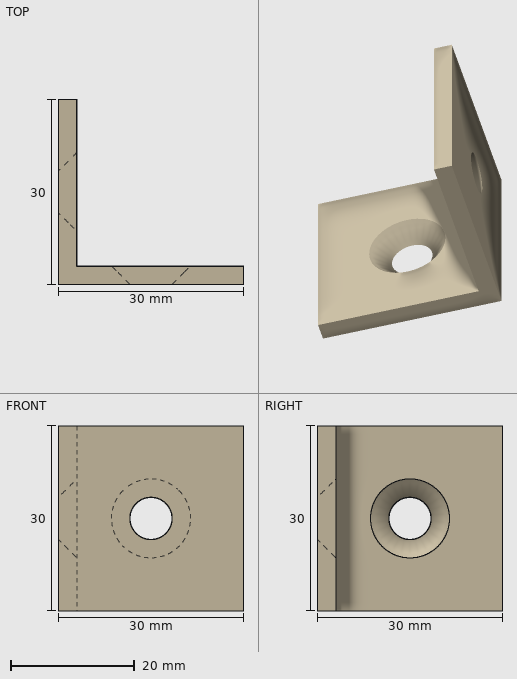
import cadquery as cq

leg_length = 30.0
height = 30.0
thickness = 3.0
outer_hole_diameter = 6.8
inner_hole_diameter = outer_hole_diameter + 2 * thickness


def angle_body():
    """L-shaped section extruded upward, outer corner at the origin."""
    return (
        cq.Workplane("XY")
        .moveTo(0, 0)
        .lineTo(leg_length, 0)
        .lineTo(leg_length, thickness)
        .lineTo(thickness, thickness)
        .lineTo(thickness, leg_length)
        .lineTo(0, leg_length)
        .close()
        .extrude(height)
    )


def leg_hole(outer_centre, inward):
    """Cone that pierces one leg, widening from its outer face to its inner face."""
    cone = cq.Solid.makeCone(
        outer_hole_diameter / 2,
        inner_hole_diameter / 2,
        thickness,
        cq.Vector(*outer_centre),
        cq.Vector(*inward),
    )
    return cq.Workplane(cone)


front_leg_hole = leg_hole((leg_length / 2, 0, height / 2), (0, 1, 0))
side_leg_hole = leg_hole((0, leg_length / 2, height / 2), (1, 0, 0))

result = angle_body().cut(front_leg_hole).cut(side_leg_hole)